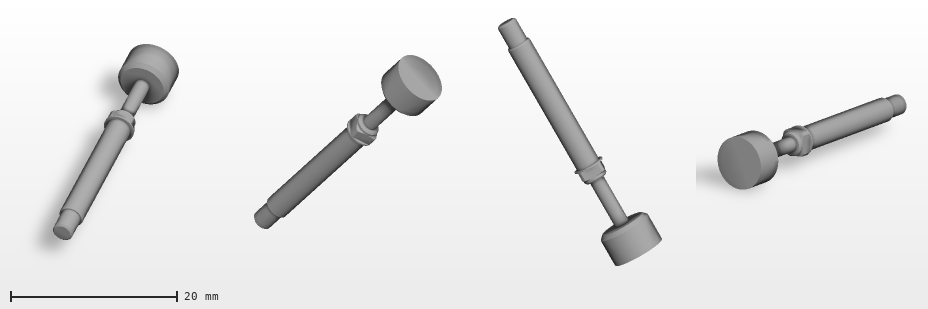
import cadquery as cq

barrel_length = 17.0
tip_length = 3.0
flange_thickness = 0.2
collar_length = 1.8
rod_length = 6.3
head_length = 4.0

barrel_diameter = 3.0
tip_diameter = 2.5
flange_diameter = 3.8
rod_diameter = 1.85
head_diameter = 6.5

collar_across_flats = barrel_diameter
collar_round_diameter = flange_diameter
collar_nose_diameter = 2.6
collar_nose_length = 0.2
collar_shoulder_length = 0.3
collar_cone_length = 0.15

tip_chamfer = 0.22
barrel_chamfer_radial = 0.1
barrel_chamfer_axial = 0.2
head_chamfer = 0.5

barrel_end = -barrel_length
tip_end = barrel_end - tip_length
collar_start = flange_thickness
collar_end = collar_start + collar_length
collar_nose_start = collar_end - collar_nose_length
collar_cone_end = collar_nose_start - collar_shoulder_length
collar_cone_start = collar_cone_end - collar_cone_length
head_start = collar_end + rod_length
head_end = head_start + head_length


def revolve_about_y(profile):
    """Solid of revolution about Y from (radius, y) points; the ends close onto the axis."""
    axis_start = (0, profile[0][1])
    axis_end = (0, profile[-1][1])
    outline = [axis_start] + profile + [axis_end]
    return cq.Workplane("XY").polyline(outline).close().revolve(360, (0, 0, 0), (0, 1, 0))


def make_barrel():
    """Plain barrel with its stepped tip."""
    tip_radius = tip_diameter / 2
    barrel_radius = barrel_diameter / 2
    return revolve_about_y([
        (tip_radius - tip_chamfer, tip_end),
        (tip_radius, tip_end + tip_chamfer),
        (tip_radius, barrel_end),
        (barrel_radius - barrel_chamfer_radial, barrel_end),
        (barrel_radius, barrel_end + barrel_chamfer_axial),
        (barrel_radius, 0),
    ])


def make_flange():
    """Thin round flange that stops the barrel."""
    radius = flange_diameter / 2
    return revolve_about_y([(radius, 0), (radius, flange_thickness)])


def make_collar():
    """Round collar with four flats, a coned shoulder and a chamfered nose."""
    round_radius = collar_round_diameter / 2
    neck_radius = collar_across_flats / 2
    body = revolve_about_y([
        (round_radius, collar_start),
        (round_radius, collar_cone_start),
        (neck_radius, collar_cone_end),
        (neck_radius, collar_nose_start),
        (collar_nose_diameter / 2, collar_end),
    ])
    square = cq.Workplane("XY").box(
        collar_across_flats, collar_length, collar_across_flats
    ).translate((0, collar_start + collar_length / 2, 0))
    return body.intersect(square)


def make_rod_and_head():
    """Slim rod carrying the large head, chamfered on the rod side."""
    rod_radius = rod_diameter / 2
    head_radius = head_diameter / 2
    return revolve_about_y([
        (rod_radius, collar_end),
        (rod_radius, head_start),
        (head_radius - head_chamfer, head_start),
        (head_radius, head_start + head_chamfer),
        (head_radius, head_end),
    ])


result = make_barrel().union(make_flange()).union(make_collar()).union(make_rod_and_head())